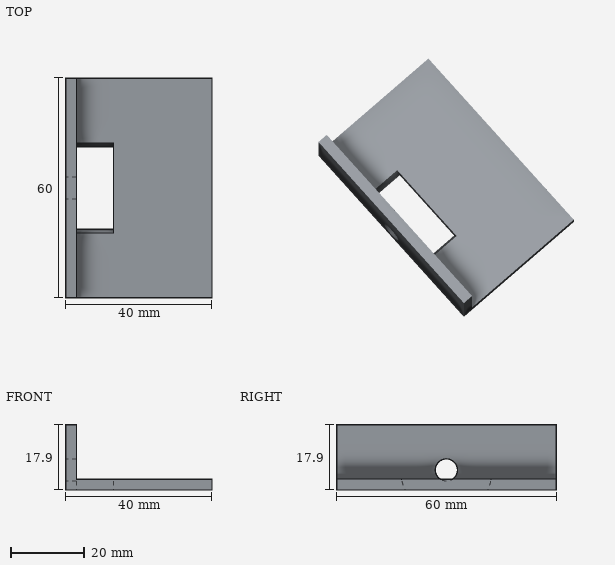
import cadquery as cq

length = 60.0
depth = 40.0
thickness = 3.0
overall_height = 17.9
axle_diameter = 6.0
axle_height = 5.5
wheel_diameter = 25.0
wheel_width = 10.0


def corner_box(size_x, size_z, base_z):
    """Box with its outer face on X = 0, centred along Y."""
    box = cq.Workplane("XY").box(size_x, length, size_z, centered=(False, True, False))
    return box.translate((0, 0, base_z))


def axle_cylinder(diameter, start_x, width):
    """Cylinder along +X on the shared wheel and axle axis."""
    return (
        cq.Workplane("YZ", origin=(start_x, 0, axle_height))
        .circle(diameter / 2)
        .extrude(width)
    )


plate = corner_box(depth, thickness, 0)
wall = corner_box(thickness, overall_height - thickness, thickness)

axle_hole = axle_cylinder(axle_diameter, 0, thickness)
wheel_clearance = axle_cylinder(wheel_diameter, thickness, wheel_width)

result = plate.union(wall).cut(axle_hole).cut(wheel_clearance)